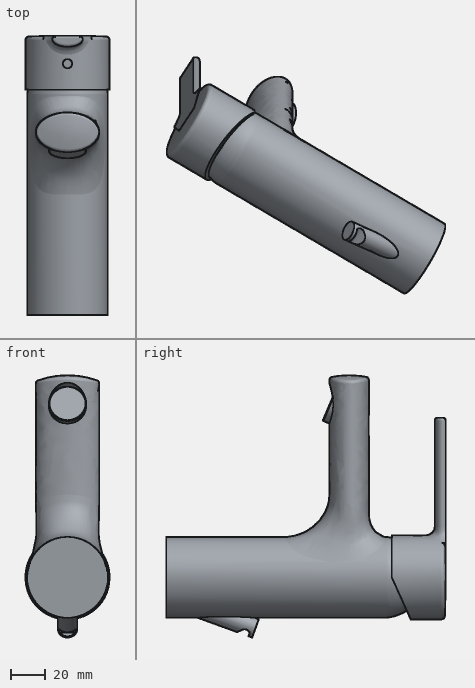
import cadquery as cq
import math

body_radius = 23.25
body_length = 127.0

cap_radius = 24.25
cap_back = 160.61
cap_mouth = 129.6
cap_dome_rise = 0.5
cap_edge_fillet = 2.2
cap_slant_bottom = 140.5
neck_end_radius = 19.3
neck_end = 138.0
neck_bulge = 0.7
mark_radius = 2.65
mark_depth = 0.3
mark_y = 144.5

spout_y = 105.1
spout_half_width = 18.25
spout_half_depth = 11.45
spout_top = 116.2
spout_dome_radius = 50.0
spout_edge_fillet = 2.0

collar_top_z = 41.8
collar_top_slope = 0.5
collar_foot_y = 97.0
collar_foot_half_length = 30.2
collar_foot_drop = 16.3

outlet_y = 94.1
outlet_z = 99.9
outlet_radius = 10.8
outlet_chamfer = 0.45
outlet_tilt = 23.0
outlet_depth = 9.0
outlet_clearance = 20.0

lever_y = 158.4
lever_half_width = 8.7
lever_half_depth = 4.2
lever_root_z = 28.9
lever_top = 91.7
lever_edge_fillet = 1.5
lever_foot_y = 159.4
lever_foot_half_width = 13.9
lever_foot_half_length = 10.9

pin_radius = 5.65
pin_end_y = 51.3
pin_end_z = -29.35
pin_tilt = 20.0
pin_length = 40.0
lip_length = 2.3
notch_depth_at_lip = 3.6
notch_middle = (4.4, 2.5)
notch_ramp_start = (6.4, 3.0)
notch_ramp_end = (9.6, 6.0)

ring_points = 32
ring_steps = 8
bezier_pull = 0.55
root_scale = 0.6
foot_sink = 0.1
sewing_tolerance = 1e-4


def flared_post(post_top, top_point, foot_point, foot_radius, axis_y):
    """Upright post with a flared collar whose sides curve out to run along a Y cylinder.

    top_point and foot_point give the two rings of the collar as functions of an angle.
    The foot sinks slightly into the cylinder and the solid closes on a level ring inside it."""
    rings = []
    angles = [2 * math.pi * i / ring_points for i in range(ring_points)]
    for step in range(ring_steps + 1):
        u = step / ring_steps
        points = []
        for angle in angles:
            top = cq.Vector(*top_point(angle))
            foot = cq.Vector(*foot_point(angle))
            normal = cq.Vector(foot.x, 0, foot.z) / foot_radius
            foot = foot - normal * foot_sink
            chord = top - foot
            along_surface = chord - normal * chord.dot(normal)
            top_handle = top - cq.Vector(0, 0, bezier_pull * chord.z)
            foot_handle = foot + along_surface * bezier_pull
            point = (
                top * (1 - u) ** 3
                + top_handle * (3 * u * (1 - u) ** 2)
                + foot_handle * (3 * u ** 2 * (1 - u))
                + foot * u ** 3
            )
            points.append(point)
        rings.append(closed_ring(points))
    root = []
    post = []
    for angle in angles:
        x, y, _ = foot_point(angle)
        top = top_point(angle)
        post.append(cq.Vector(top[0], top[1], post_top))
        root.append(cq.Vector(x * root_scale, axis_y + (y - axis_y) * root_scale, 0))
    root_ring = closed_ring(root)
    post_ring = closed_ring(post)
    column = side_faces([post_ring, rings[0]])
    flare = side_faces(rings)
    skirt = side_faces([rings[-1], root_ring])
    ends = [cq.Face.makeFromWires(post_ring), cq.Face.makeFromWires(root_ring)]
    return cq.Workplane(cq.occ_impl.shapes.solid(*column, *flare, *skirt, *ends, tol=sewing_tolerance))


def closed_ring(points):
    return cq.Wire.assembleEdges([cq.Edge.makeSpline(points, periodic=True)])


def side_faces(rings):
    return cq.occ_impl.shapes.loft(rings, ruled=len(rings) == 2).Faces()


def spout_ring(angle):
    depth = spout_half_depth * math.sin(angle)
    return (spout_half_width * math.cos(angle), spout_y + depth, collar_top_z - collar_top_slope * depth)


def spout_foot(angle):
    """Rounded saddle outline on the body, dipping lowest at its two sides."""
    side = math.cos(angle)
    z = body_radius - collar_foot_drop * side ** 2
    x = side * math.sqrt(collar_foot_drop * (2 * body_radius - collar_foot_drop * side ** 2))
    y = collar_foot_y + collar_foot_half_length * math.sin(angle) * math.sqrt(1 + side ** 2)
    return (x, y, z)


def lever_ring(angle):
    return (lever_half_width * math.cos(angle), lever_y + lever_half_depth * math.sin(angle), lever_root_z)


def lever_foot(angle):
    x = lever_foot_half_width * math.cos(angle)
    y = lever_foot_y + lever_foot_half_length * math.sin(angle)
    return (x, y, math.sqrt(cap_radius ** 2 - x ** 2))


def make_body():
    """Solid body with a rounded neck that reaches into the cap."""
    neck_root = 0.5 * (neck_end + cap_back)
    neck_middle = (0.5 * (body_radius + neck_end_radius) + neck_bulge, 0.5 * (body_length + neck_end))
    return (
        cq.Workplane("XY")
        .lineTo(body_radius, 0)
        .lineTo(body_radius, body_length)
        .threePointArc(neck_middle, (neck_end_radius, neck_end))
        .lineTo(neck_end_radius, neck_root)
        .lineTo(0, neck_root)
        .close()
        .revolve(360, (0, 0, 0), (0, 1, 0))
    )


def make_cap():
    rim = cap_back - cap_dome_rise
    dome_middle = (0.5 * cap_radius, cap_back - 0.25 * cap_dome_rise)
    cap = (
        cq.Workplane("XY")
        .moveTo(0, cap_mouth)
        .lineTo(cap_radius, cap_mouth)
        .lineTo(cap_radius, rim)
        .threePointArc(dome_middle, (0, cap_back))
        .close()
        .revolve(360, (0, 0, 0), (0, 1, 0))
        .faces(">Y")
        .edges()
        .fillet(cap_edge_fillet)
    )
    slant = (
        cq.Workplane("YZ")
        .moveTo(cap_mouth, 0)
        .lineTo(cap_slant_bottom, -cap_radius)
        .lineTo(cap_mouth, -cap_radius)
        .close()
        .extrude(cap_radius, both=True)
    )
    mark = (
        cq.Workplane("XY", origin=(0, mark_y, cap_radius - mark_depth))
        .circle(mark_radius)
        .extrude(2 * mark_depth)
    )
    return cap.cut(slant).cut(mark)


def make_spout():
    column = flared_post(spout_top, spout_ring, spout_foot, body_radius, spout_y)
    dome = cq.Workplane("XY", origin=(0, spout_y, spout_top - spout_dome_radius)).sphere(spout_dome_radius)
    lower_part = (
        cq.Workplane("XY", origin=(0, spout_y, 0))
        .rect(4 * spout_half_width, 4 * spout_half_width)
        .extrude(spout_top / 2)
    )
    column = column.intersect(dome.union(lower_part))
    return column.faces(">Z").edges().fillet(spout_edge_fillet)


def add_outlet(part):
    tilt = math.radians(outlet_tilt)
    outlet_plane = cq.Plane(
        origin=(0, outlet_y, outlet_z),
        xDir=(1, 0, 0),
        normal=(0, -math.cos(tilt), math.sin(tilt)),
    )
    recess = cq.Workplane(outlet_plane).circle(outlet_radius).extrude(outlet_clearance)
    disc = (
        cq.Workplane(outlet_plane)
        .circle(outlet_radius)
        .extrude(-outlet_depth)
        .faces(cq.selectors.NearestToPointSelector((0, outlet_y, outlet_z)))
        .edges()
        .chamfer(outlet_chamfer)
    )
    ring_gap = cq.Workplane(outlet_plane).circle(outlet_radius).extrude(-outlet_chamfer)
    return part.cut(recess).cut(ring_gap).union(disc)


def make_lever():
    lever = flared_post(lever_top, lever_ring, lever_foot, cap_radius, lever_foot_y)
    behind_cap = (
        cq.Workplane("XY", origin=(0, cap_back + cap_radius, 0))
        .rect(4 * cap_radius, 2 * cap_radius)
        .extrude(2 * lever_top, both=True)
    )
    return lever.cut(behind_cap).faces(">Z").edges().fillet(lever_edge_fillet)


def make_pin():
    """Pin rising toward the free end, built with local x along its axis and local y downward."""
    tilt = math.radians(pin_tilt)
    side_plane = cq.Plane(
        origin=(0, pin_end_y, pin_end_z),
        xDir=(0, -math.cos(tilt), math.sin(tilt)),
        normal=(1, 0, 0),
    )
    axis_plane = cq.Plane(
        origin=(0, pin_end_y, pin_end_z),
        xDir=(1, 0, 0),
        normal=(0, -math.cos(tilt), math.sin(tilt)),
    )
    notch = (
        cq.Workplane(side_plane)
        .moveTo(lip_length, notch_ramp_end[1])
        .lineTo(lip_length, notch_depth_at_lip)
        .threePointArc(notch_middle, notch_ramp_start)
        .lineTo(*notch_ramp_end)
        .close()
        .extrude(pin_radius, both=True)
    )
    return cq.Workplane(axis_plane).circle(pin_radius).extrude(pin_length).cut(notch)


spout = add_outlet(make_spout())
result = make_body().union(make_cap()).union(make_lever()).union(spout).union(make_pin())